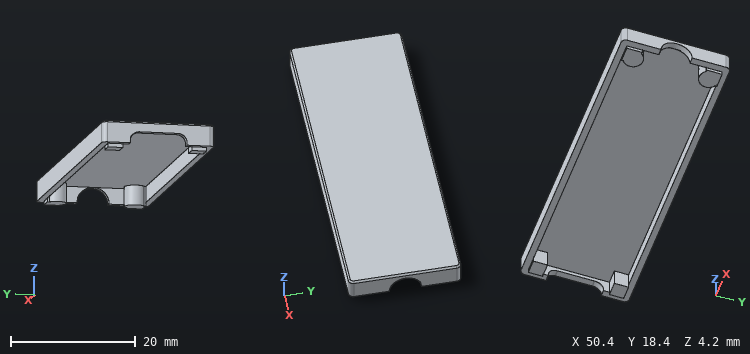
import cadquery as cq

length = 50.4
width = 18.4
total_height = 4.2
foot_height = 0.6
body_height = total_height - foot_height
corner_radius = 0.8
top_chamfer = 0.3

wall = 1.1
cavity_depth = 2.6

wide_arch_width = 9.3
wide_arch_height = 1.85
wide_arch_radius = 1.5
round_arch_radius = 2.6

square_post_side = 2.4
boss_block_side = 2.6
boss_radius = 1.65


def make_shell():
    """Chamfered cover, open underneath, with its rim at Z = 0."""
    body = cq.Workplane("XY").box(length, width, body_height, centered=(True, True, False))
    body = body.edges("|Z").fillet(corner_radius)
    body = body.faces(">Z").edges().chamfer(top_chamfer)
    cavity = cq.Workplane("XY").box(
        length - 2 * wall, width - 2 * wall, cavity_depth, centered=(True, True, False)
    )
    return body.cut(cavity)


def make_wide_arch():
    """Flat-topped opening with rounded upper corners, through the -X wall."""
    opening = cq.Workplane("XY").box(
        wall, wide_arch_width, wide_arch_height, centered=(False, True, False)
    )
    opening = opening.edges("|X and >Z").fillet(wide_arch_radius)
    return opening.translate((-length / 2, 0, 0))


def make_round_arch():
    """Semicircular opening through the +X wall."""
    cylinder = cq.Workplane("YZ").circle(round_arch_radius).extrude(wall)
    return cylinder.translate((length / 2 - wall, 0, 0))


def make_post(x_side, y_side, side):
    """Square post in one inner corner, from the feet up to the roof."""
    x = x_side * (length / 2 - wall - side / 2)
    y = y_side * (width / 2 - wall - side / 2)
    post = cq.Workplane("XY").rect(side, side).extrude(foot_height + cavity_depth)
    return post.translate((x, y, -foot_height))


def make_boss(y_side):
    """Round boss touching the two walls of a +X inner corner."""
    x = length / 2 - wall - boss_radius
    y = y_side * (width / 2 - wall - boss_radius)
    boss = cq.Workplane("XY").circle(boss_radius).extrude(foot_height + cavity_depth)
    return boss.translate((x, y, -foot_height))


result = make_shell().cut(make_wide_arch()).cut(make_round_arch())
for y_side in (-1, 1):
    result = result.union(make_post(-1, y_side, square_post_side))
    result = result.union(make_post(1, y_side, boss_block_side))
    result = result.union(make_boss(y_side))